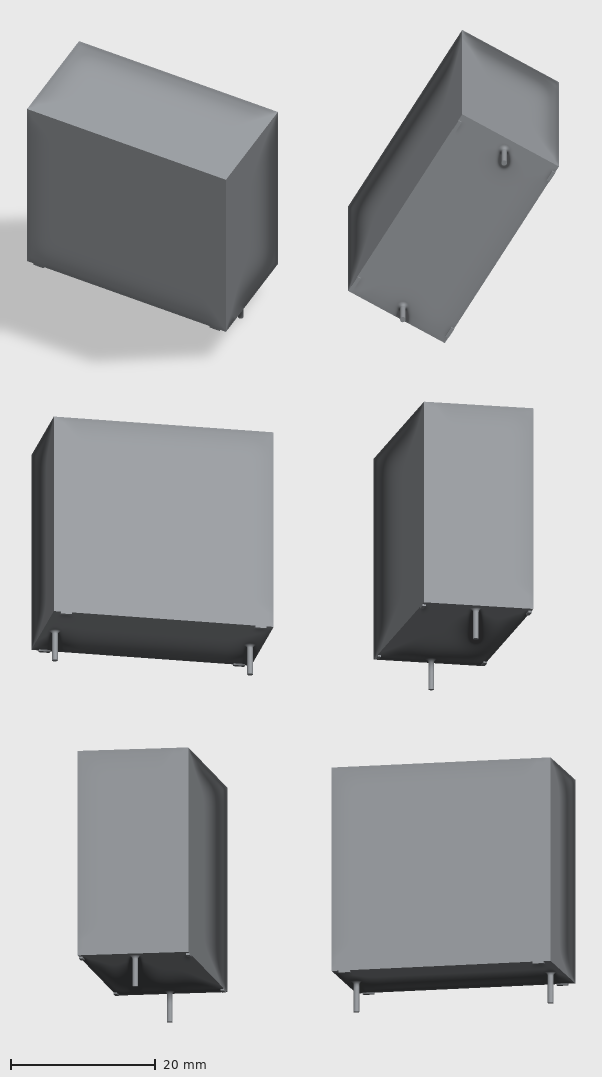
import cadquery as cq

case_length = 31.0
case_width = 15.5
total_height = 33.0
lead_length = 4.3
case_height = total_height - lead_length

foot_length = 1.6
foot_width = 0.5
foot_height = 0.25
foot_end_gap = 1.0

lead_diameter = 0.8
lead_pitch = 27.5
meniscus_radius = 0.45


def make_case():
    """Plain box standing with its underside at Z = 0."""
    return cq.Workplane("XY").box(case_length, case_width, case_height, centered=(True, True, False))


def make_feet():
    """Four low pads, one near each corner of the underside."""
    foot_spacing_x = case_length - 2 * foot_end_gap - foot_length
    foot_spacing_y = case_width - foot_width
    return (
        cq.Workplane("XY")
        .rarray(foot_spacing_x, foot_spacing_y, 2, 2)
        .rect(foot_length, foot_width)
        .extrude(-foot_height)
    )


def make_lead(center_x):
    """Round wire with a concave meniscus flaring out to the underside."""
    lead_radius = lead_diameter / 2
    flare_radius = lead_radius + meniscus_radius
    arc_middle_offset = meniscus_radius * 0.5**0.5
    arc_middle = (flare_radius - arc_middle_offset, arc_middle_offset - meniscus_radius)
    return (
        cq.Workplane("XZ")
        .moveTo(0, 0)
        .lineTo(flare_radius, 0)
        .threePointArc(arc_middle, (lead_radius, -meniscus_radius))
        .lineTo(lead_radius, -lead_length)
        .lineTo(0, -lead_length)
        .close()
        .revolve(360, (0, 0, 0), (0, 1, 0))
        .translate((center_x, 0, 0))
    )


result = make_case().union(make_feet())
for side in (-1, 1):
    result = result.union(make_lead(side * lead_pitch / 2))